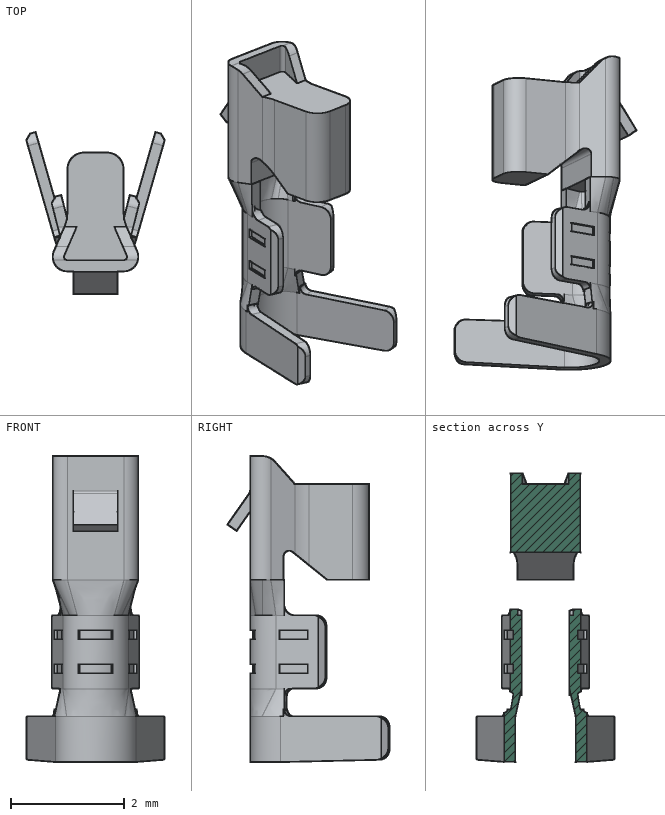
import cadquery as cq
import math

sheet = 0.2

height = 5.4
head_bottom = 3.215
wire_top = 2.59
wire_bottom = 1.295
insulation_top = 0.81

head_flat_half = 0.495
head_bend_radius = 0.26
head_lean = 24.0
block_half = 0.495
block_corner_radius = 0.295
block_back = 2.1
waist_start = 0.79
waist_end = 1.03

block_top = 4.91
slope_start = 0.35
slope_radius = 0.315
notch_front = 0.595
notch_top = 3.725
notch_radius = 0.095
undercut_start = 1.36
undercut_end = 0.77
undercut_rise = 0.475

tab_half = 0.39
tab_angle = 35.0
tab_reach = 0.4
tab_tip_top = 4.19
tab_bend_radius = 0.085

wire_radius = 0.6
wire_lean = 14.3
wire_back = 1.35
insulation_radius = 0.74
insulation_lean = 16.0
insulation_back = 2.46
insulation_bottom_rise = 0.045
wing_corner_radius = 0.195
wing_bevel = 0.095

neck_back = 0.605
upper_neck_wire_angles = (33.0, 50.0)
upper_neck_head_angle = 80.0
lower_neck_blend_angle = 44.0
upper_fillet = 0.185
lower_fillet = 0.12
fillet_overlap = 0.015

groove_bottoms = (1.57, 2.17)
groove_height = 0.15
groove_depth = 0.05
front_groove_half = 0.3
wing_groove_start = 0.065
wing_groove_end = 0.585


def on_circle(centre, radius, angle):
    """Point on a circle, with the angle in degrees measured from -Y toward +X."""
    turn = math.radians(angle)
    return (centre[0] + radius * math.sin(turn), centre[1] - radius * math.cos(turn))


def along(start, distance, angle):
    """Point at a distance from start, heading at an angle in degrees from +X toward +Y."""
    turn = math.radians(angle)
    return (start[0] + distance * math.cos(turn), start[1] + distance * math.sin(turn))


def flip(point):
    return (-point[0], point[1])


def wall_length(centre, radius, angle):
    """Length of a wall leaving the circle at an angle and ending at the back of the neck."""
    start = on_circle(centre, radius, angle)
    return (neck_back - start[1]) / math.sin(math.radians(angle))


def mirrored_pair(solid):
    return solid.union(solid.mirror("YZ"))


def both_sides(sketch, length):
    return sketch.extrude(length, both=True)


def head_outline(offset):
    """Closed outline of the head, moved inward by offset."""
    radius = head_bend_radius - offset
    centre = (head_flat_half, head_bend_radius)
    bend_end = on_circle(centre, radius, 90 + head_lean)
    bend_middle = on_circle(centre, radius, 45 + head_lean / 2)

    lean = math.radians(head_lean)
    waist_radius = (waist_end - waist_start) / math.sin(lean) + offset
    half = block_half - offset
    waist_centre = (half + waist_radius, waist_end)
    waist_first = on_circle(waist_centre, waist_radius, head_lean - 90)
    waist_middle = on_circle(waist_centre, waist_radius, head_lean / 2 - 90)
    back = block_back - offset
    corner_radius = block_corner_radius - offset
    corner_centre = (half - corner_radius, back - corner_radius)
    corner_middle = on_circle(corner_centre, corner_radius, 135)
    return (
        cq.Workplane("XY", origin=(0, 0, head_bottom))
        .moveTo(0, offset)
        .lineTo(head_flat_half, offset)
        .threePointArc(bend_middle, bend_end)
        .lineTo(*waist_first)
        .threePointArc(waist_middle, (half, waist_end))
        .lineTo(half, back - corner_radius)
        .threePointArc(corner_middle, (corner_centre[0], back))
        .lineTo(0, back)
        .mirrorY()
    )


def head_side():
    """Side shape of the head, wide enough in X to trim the whole outline."""
    slope_angle = math.degrees(math.atan2(height - block_top, waist_start - slope_start))
    tangent = slope_radius * math.tan(math.radians(slope_angle / 2))
    arc_centre = (slope_start - tangent, height - slope_radius)
    arc_middle = on_circle(arc_centre, slope_radius, 180 - slope_angle / 2)
    arc_end = on_circle(arc_centre, slope_radius, 180 - slope_angle)

    rise = math.degrees(math.atan2(undercut_rise, undercut_start - undercut_end))
    notch_centre = (notch_front + notch_radius, notch_top - notch_radius)
    notch_middle = on_circle(notch_centre, notch_radius, 225 - rise / 2)
    notch_end = on_circle(notch_centre, notch_radius, 180 - rise)
    sketch = (
        cq.Workplane("YZ")
        .moveTo(0, head_bottom)
        .lineTo(0, height)
        .lineTo(arc_centre[0], height)
        .threePointArc(arc_middle, arc_end)
        .lineTo(waist_start, block_top)
        .lineTo(block_back, block_top)
        .lineTo(block_back, head_bottom)
        .lineTo(undercut_start, head_bottom)
        .lineTo(*notch_end)
        .threePointArc(notch_middle, (notch_front, notch_centre[1]))
        .lineTo(notch_front, head_bottom)
        .close()
    )
    return both_sides(sketch, head_flat_half + head_bend_radius)


def contact_head():
    head = head_outline(0).extrude(height - head_bottom).intersect(head_side())
    hollow = head_outline(sheet).extrude(height - head_bottom)
    hollow = hollow.translate((0, 0, block_top - head_bottom))
    return head.cut(hollow)


def lance_tab():
    """Tab bent out of the front wall, with a rounded bend at its root."""
    slope = math.tan(math.radians(tab_angle))
    corner_height = tab_tip_top + tab_reach / slope
    bend_top = corner_height + tab_bend_radius * math.tan(math.radians(tab_angle / 2))
    bend_centre = (-tab_bend_radius, bend_top)
    bend_middle = on_circle(bend_centre, tab_bend_radius, 90 - tab_angle / 2)
    bend_end = on_circle(bend_centre, tab_bend_radius, 90 - tab_angle)
    outer_tip = (-tab_reach, tab_tip_top)
    inner_tip = along(outer_tip, sheet, -tab_angle)
    inner_root = (0, inner_tip[1] - inner_tip[0] / slope)
    sketch = (
        cq.Workplane("YZ")
        .moveTo(0, bend_top)
        .threePointArc(bend_middle, bend_end)
        .lineTo(*outer_tip)
        .lineTo(*inner_tip)
        .lineTo(*inner_root)
        .close()
    )
    return both_sides(sketch, tab_half)


def barrel_trough(radius, lean, bottom, top):
    """Round front part of a crimp barrel, ending where the flat wings begin."""
    centre = (0, radius)
    inner = radius - sheet
    end = 90 - lean
    return (
        cq.Workplane("XY", origin=(0, 0, bottom))
        .moveTo(*on_circle(centre, radius, -end))
        .threePointArc((0, 0), on_circle(centre, radius, end))
        .lineTo(*on_circle(centre, inner, end))
        .threePointArc((0, sheet), on_circle(centre, inner, -end))
        .close()
        .extrude(top - bottom)
    )


def wing_length(radius, lean, back):
    """Length of the wing along its slope so that its inner edge reaches back."""
    turn = math.radians(lean)
    start = radius * (1 - math.sin(turn))
    return (back - start - sheet * math.sin(turn)) / math.cos(turn)


def flat_wing(length, bottom, top, bottom_rise):
    """Wing lying along +X with its outer face on Y = 0, beveled tip and rounded corners."""
    plate = (
        cq.Workplane("XY", origin=(0, 0, bottom))
        .lineTo(length - wing_bevel, 0)
        .lineTo(length, wing_bevel)
        .lineTo(length, sheet)
        .lineTo(0, sheet)
        .close()
        .extrude(top - bottom)
    )
    side = (
        cq.Workplane("XZ")
        .polyline([(0, bottom), (length, bottom + bottom_rise), (length, top), (0, top)])
        .close()
        .extrude(-sheet)
        .edges(">X and |Y")
        .fillet(wing_corner_radius)
    )
    return plate.intersect(side)


def lower_root_fillet(wall, level, direction):
    """Concave fillet from the wing edge at level to the neck edge, on the +Z or -Z side."""
    inside = wall - fillet_overlap
    away = level + direction * lower_fillet
    middle = on_circle((wall + lower_fillet, away), lower_fillet, -90 + direction * 45)
    return (
        cq.Workplane("XZ")
        .moveTo(inside, level)
        .lineTo(inside, away)
        .lineTo(wall, away)
        .threePointArc(middle, (wall + lower_fillet, level))
        .close()
        .extrude(-sheet)
    )


def upper_root_fillets(wall):
    """Pair of wing stubs above the wire crimp, rounded off square to the YZ plane."""
    start = wall - fillet_overlap
    stub = cq.Workplane("XY").box(2 * upper_fillet, sheet, upper_fillet, centered=False)
    stubs = place_wings(stub.translate((start, 0, wire_top)), wire_radius, wire_lean)
    centre = (neck_back + upper_fillet, wire_top + upper_fillet)
    sketch = (
        cq.Workplane("YZ")
        .moveTo(neck_back, centre[1])
        .threePointArc(on_circle(centre, upper_fillet, -45), (centre[0], wire_top))
        .lineTo(wire_back, wire_top)
        .lineTo(wire_back, centre[1])
        .close()
    )
    return stubs.cut(both_sides(sketch, wire_back))


def place_wings(wing, radius, lean):
    """Stand the flat wing on the end of the trough and add its mirror image."""
    start = on_circle((0, radius), radius, 90 - lean)
    placed = wing.rotate((0, 0, 0), (0, 0, 1), 90 - lean).translate((start[0], start[1], 0))
    return mirrored_pair(placed)


def front_groove(bottom):
    """Groove following the round front of the wire crimp, with radial ends."""
    centre = (0, wire_radius)
    end = math.degrees(math.asin(front_groove_half / wire_radius))
    floor = wire_radius - groove_depth
    return (
        cq.Workplane("XY", origin=(0, 0, bottom))
        .moveTo(*on_circle(centre, wire_radius, -end))
        .threePointArc((0, 0), on_circle(centre, wire_radius, end))
        .lineTo(*on_circle(centre, floor, end))
        .threePointArc((0, groove_depth), on_circle(centre, floor, -end))
        .close()
        .extrude(groove_height)
    )


def wire_crimp():
    length = wing_length(wire_radius, wire_lean, wire_back)
    wall = wall_length((0, wire_radius), wire_radius, 90 - wire_lean)
    wing = flat_wing(length, wire_bottom, wire_top, 0)
    wing = wing.union(lower_root_fillet(wall, wire_bottom, -1))
    trough = barrel_trough(wire_radius, wire_lean, wire_bottom, wire_top)
    for bottom in groove_bottoms:
        groove_length = wing_groove_end - wing_groove_start
        groove = cq.Workplane("XY").box(groove_length, groove_depth, groove_height, centered=False)
        wing = wing.cut(groove.translate((wing_groove_start, 0, bottom)))
        trough = trough.cut(front_groove(bottom))
    crimp = trough.union(place_wings(wing, wire_radius, wire_lean))
    return crimp.union(upper_root_fillets(wall))


def insulation_crimp():
    length = wing_length(insulation_radius, insulation_lean, insulation_back)
    wall = wall_length((0, insulation_radius), insulation_radius, 90 - insulation_lean)
    wing = flat_wing(length, 0, insulation_top, insulation_bottom_rise)
    wing = wing.union(lower_root_fillet(wall, insulation_top, 1))
    trough = barrel_trough(insulation_radius, insulation_lean, 0, insulation_top)
    return trough.union(place_wings(wing, insulation_radius, insulation_lean))


def bend_path(centre, radius, angles):
    """Arcs along a circle through the angles, each as (start, middle, end)."""
    return [
        tuple(on_circle(centre, radius, angle) for angle in (first, (first + last) / 2, last))
        for first, last in zip(angles, angles[1:])
    ]


def straight_wall(centre, radius, angle, length):
    """Wall leaving the circle tangentially at an angle, as (start, end)."""
    start = on_circle(centre, radius, angle)
    return (start, along(start, length, angle))


def channel_wire(level, outer, inner):
    """Closed channel section from its +X half.

    The outer and inner paths run from the middle of the front to the open edge.
    A segment is a line when it has two points and an arc when it has three.
    """

    def edge(segment):
        points = [cq.Vector(x, y, level) for x, y in segment]
        if len(points) == 2:
            return cq.Edge.makeLine(*points)
        return cq.Edge.makeThreePointArc(*points)

    def whole_front(segment):
        middle = segment[:1] if len(segment) == 3 else ()
        return (flip(segment[-1]), *middle, segment[-1])

    open_edge = (outer[-1][-1], inner[-1][-1])
    right = outer[1:] + [open_edge] + [segment[::-1] for segment in reversed(inner[1:])]
    left = [tuple(flip(point) for point in segment[::-1]) for segment in reversed(right)]
    loop = [whole_front(outer[0])] + right + [whole_front(inner[0])[::-1]] + left
    return cq.Wire.assembleEdges([edge(segment) for segment in loop])


def neck(lower, upper):
    return cq.Workplane(cq.Solid.makeLoft([lower, upper], True))


def upper_neck():
    """Neck from the wire crimp to the head, with its open edges facing straight back."""
    wire_centre = (0, wire_radius)
    wire_end = 90 - wire_lean
    wire_angles = (0, *upper_neck_wire_angles, wire_end)
    head_centre = (head_flat_half, head_bend_radius)
    head_end = 90 + head_lean
    head_angles = (0, upper_neck_head_angle, head_end)

    wire_paths = []
    head_paths = []
    for depth in (0, sheet):
        radius = wire_radius - depth
        wall = straight_wall(wire_centre, radius, wire_end, wall_length(wire_centre, radius, wire_end))
        wire_paths.append(bend_path(wire_centre, radius, wire_angles) + [wall])

        radius = head_bend_radius - depth
        front = ((0, depth), (head_flat_half, depth))
        wall = straight_wall(head_centre, radius, head_end, wall_length(head_centre, radius, head_end))
        head_paths.append([front] + bend_path(head_centre, radius, head_angles) + [wall])
    return neck(channel_wire(wire_top, *wire_paths), channel_wire(head_bottom, *head_paths))


def lower_neck():
    """Neck from the insulation crimp to the wire crimp, with its open edges square to the wall."""
    insulation_centre = (0, insulation_radius)
    edge_angle = math.degrees(math.acos(1 - neck_back / insulation_radius))
    insulation_angles = (0, lower_neck_blend_angle, edge_angle)
    wire_centre = (0, wire_radius)
    wire_end = 90 - wire_lean
    length = wall_length(wire_centre, wire_radius, wire_end)

    insulation_paths = []
    wire_paths = []
    for depth in (0, sheet):
        radius = insulation_radius - depth
        insulation_paths.append(bend_path(insulation_centre, radius, insulation_angles))

        radius = wire_radius - depth
        wall = straight_wall(wire_centre, radius, wire_end, length)
        wire_paths.append(bend_path(wire_centre, radius, (0, wire_end)) + [wall])
    return neck(
        channel_wire(insulation_top, *insulation_paths), channel_wire(wire_bottom, *wire_paths)
    )


result = contact_head()
for section in (lance_tab(), upper_neck(), wire_crimp(), lower_neck(), insulation_crimp()):
    result = result.union(section)